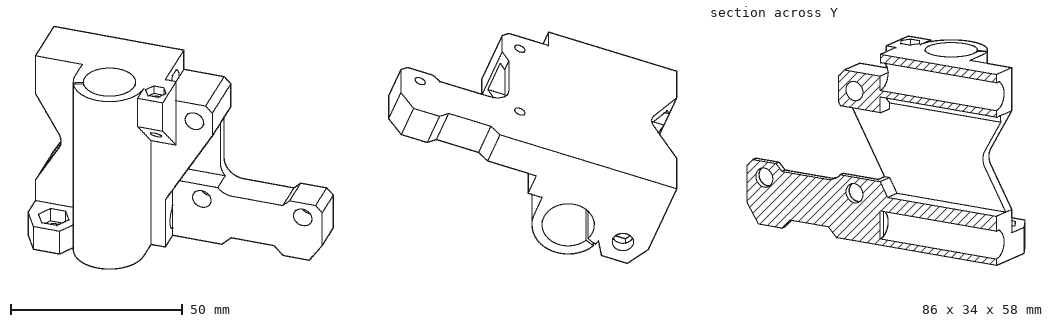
import cadquery as cq
import math

height = 58.0
body_depth = 16.85
wall = 3.35
block_width = 40.0
body_mid_y = -body_depth / 2
slope = math.tan(math.radians(60))

tube_x = 25.0
tube_y = -23.4
tube_radius = 10.6
bore_diameter = 15.2
slit_width = 0.8
slit_angle = 203
slit_reach = 11.2

boss_right = 54.4
boss_top = 51.3
corner_chamfer = 2.1
boss_slope_top = 41.3
boss_slope_bottom = boss_slope_top - (boss_right - block_width) * slope

arm_length = 86
arm_depth = 10.15
arm_top = 17.3
lug_top = arm_top + corner_chamfer
lug_left = 73.9
inner_radius = 6.0
web_right = boss_right - corner_chamfer
foot_relief = 2.8
relief_left = 55.1
relief_right = 74.0
tip_bottom = 82.05
tip_slope_height = 5.9

notch_bottom = 15.0
notch_top = 44.9
notch_radius = 5.0
notch_mid = (notch_bottom + notch_top) / 2
notch_depth = (notch_top - notch_bottom) / 2 / slope

window_floor = notch_bottom
window_roof = notch_top
window_roof_chamfer = 2.9
window_exit_top = 40.2

rod_radius = 4.17
rod_heights = (6.2, 51.2)

screw_diameter = 3.2
screw_head_diameter = 5.7
screw_floor = 3.4
screw_x = 48.9
low_screw_z = 14.45
high_screw_z = 45.4
tip_screw_x = 80.0

foot_height = 7.9
foot_front = -30.4
foot_shoulder = -23.5
foot_front_left = 3.95
foot_front_right = 12.0
foot_tube_corner = (14.8, -25.6)
foot_hole = (7.9, -23.6)
foot_hole_diameter = 6.2
foot_nut_flats = 8.1
foot_nut_depth = 4.3
tab_left = tube_x + tube_radius
tab_right = 43.35
tab_front = -29.1
tab_slope_top = 48.2
tab_hole = (39.5, -23.9)
tab_hole_diameter = 3.3
tab_nut_flats = 5.4
tab_nut_depth = 2.6


def from_back(points, depth):
    """Extrude an X-Z outline from the back face toward -Y."""
    return cq.Workplane("XZ").polyline(points).close().extrude(depth)


def vertical_prism(points, bottom, top):
    """Extrude an X-Y outline between two heights."""
    return cq.Workplane("XY", (0, 0, bottom)).polyline(points).close().extrude(top - bottom)


def along_x(points, start, end):
    """Extrude a Y-Z outline along X."""
    return cq.Workplane("YZ", (start, 0, 0)).polyline(points).close().extrude(end - start)


def cylinder_z(center, diameter):
    return cq.Workplane("XY").center(*center).circle(diameter / 2).extrude(height)


def nut_pocket(center, flats, top, depth):
    corners = flats / math.cos(math.pi / 6)
    return cq.Workplane("XY", (0, 0, top - depth)).center(*center).polygon(6, corners).extrude(depth)


def main_body():
    return from_back([
        (0, 0), (block_width, 0), (block_width, boss_slope_bottom),
        (boss_right, boss_slope_top), (boss_right, boss_top - corner_chamfer),
        (boss_right - corner_chamfer, boss_top), (block_width, boss_top),
        (block_width, height), (0, height),
    ], body_depth)


def notch():
    reach = notch_depth / 2
    outline = [
        (-reach, notch_bottom - reach * slope), (notch_depth, notch_mid),
        (-reach, notch_top + reach * slope),
    ]
    tip = cq.selectors.NearestToPointSelector((notch_depth, body_mid_y, notch_mid))
    return from_back(outline, body_depth).edges(tip).fillet(notch_radius)


def window():
    front = wall - body_depth
    back = -wall
    chamfer = window_roof_chamfer
    chamber = along_x([
        (front, window_floor), (back, window_floor), (back, window_roof - chamfer),
        (back - chamfer, window_roof), (front + chamfer, window_roof), (front, window_roof - chamfer),
    ], 0, block_width)
    passage = from_back([
        (block_width, lug_top), (boss_right, lug_top),
        (boss_right, window_exit_top), (block_width, window_exit_top),
    ], back - front).translate((0, back, 0))
    ramp_run = (lug_top - window_floor) / slope
    ramp = from_back([
        (block_width - ramp_run, window_floor), (block_width, window_floor), (block_width, lug_top),
    ], body_depth)
    return chamber.cut(ramp).union(passage)


def arm():
    plate = from_back([
        (block_width, 0), (relief_left, 0), (relief_left + foot_relief, foot_relief),
        (relief_right - foot_relief, foot_relief), (relief_right, 0), (tip_bottom, 0),
        (arm_length, tip_slope_height), (arm_length, lug_top - corner_chamfer),
        (arm_length - corner_chamfer, lug_top), (lug_left + corner_chamfer, lug_top),
        (lug_left, arm_top), (web_right, arm_top), (web_right, boss_slope_top),
        (block_width, boss_slope_top),
    ], arm_depth)
    corner = cq.selectors.NearestToPointSelector((web_right, -arm_depth / 2, arm_top))
    plate = plate.edges(corner).fillet(inner_radius)
    web_recess = from_back([
        (block_width, lug_top), (boss_right + inner_radius, lug_top),
        (boss_right + inner_radius, boss_slope_top), (block_width, boss_slope_top),
    ], arm_depth - wall).translate((0, -wall, 0))
    return plate.cut(web_recess)


def tube():
    round_wall = cq.Workplane("XY").center(tube_x, tube_y).circle(tube_radius).extrude(height)
    bridge = vertical_prism([
        (tube_x - tube_radius, tube_y), (tube_x + tube_radius, tube_y),
        (tube_x + tube_radius, -body_depth), (tube_x - tube_radius, -body_depth),
    ], 0, height)
    return round_wall.union(bridge)


def slit():
    cutter = cq.Workplane("XY").box(slit_reach, slit_width, height, centered=(False, True, False))
    return cutter.rotate((0, 0, 0), (0, 0, 1), slit_angle).translate((tube_x, tube_y, 0))


def foot_tab():
    tube_left = tube_x - tube_radius
    return vertical_prism([
        (0, -body_depth), (0, foot_shoulder), (foot_front_left, foot_front), (foot_front_right, foot_front),
        foot_tube_corner, (tube_left, -body_depth),
    ], 0, foot_height)


def upper_tab():
    return along_x([
        (-body_depth, height), (tab_front, height), (tab_front, tab_slope_top),
        (-body_depth, tab_slope_top + tab_front + body_depth),
    ], tab_left, tab_right)


def teardrop_hole(z):
    shoulder = rod_radius * math.sin(math.pi / 4)
    flat = rod_radius * (math.sqrt(2) - 1)
    return (
        cq.Workplane("YZ").center(body_mid_y, z)
        .moveTo(-shoulder, shoulder)
        .threePointArc((0, -rod_radius), (shoulder, shoulder))
        .lineTo(flat, rod_radius).lineTo(-flat, rod_radius).close()
        .extrude(block_width)
    )


def screw_hole(x, z):
    hole = cq.Workplane("XZ").center(x, z).circle(screw_diameter / 2).extrude(body_depth)
    head = cq.Workplane("XZ", (0, -screw_floor, 0)).center(x, z)
    return hole.union(head.circle(screw_head_diameter / 2).extrude(body_depth - screw_floor))


bore = cylinder_z((tube_x, tube_y), bore_diameter)
result = main_body().union(tube()).cut(bore).cut(slit())
result = result.cut(window()).union(arm()).cut(notch())
for rod_height in rod_heights:
    result = result.cut(teardrop_hole(rod_height))
for x, z in ((screw_x, low_screw_z), (screw_x, high_screw_z), (tip_screw_x, low_screw_z)):
    result = result.cut(screw_hole(x, z))

result = result.union(foot_tab()).union(upper_tab())
result = result.cut(cylinder_z(foot_hole, foot_hole_diameter))
result = result.cut(nut_pocket(foot_hole, foot_nut_flats, foot_height, foot_nut_depth))
result = result.cut(cylinder_z(tab_hole, tab_hole_diameter))
result = result.cut(nut_pocket(tab_hole, tab_nut_flats, height, tab_nut_depth))